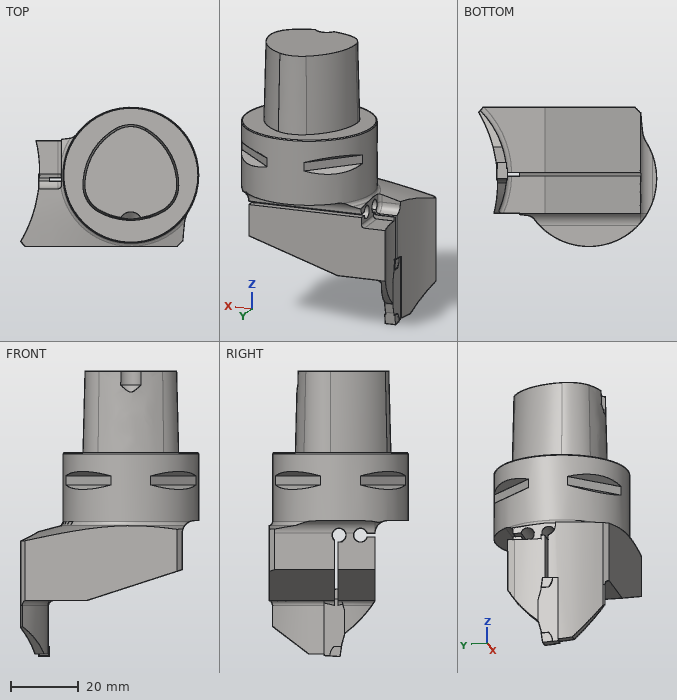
import cadquery as cq
import math


flange_radius = 20.0
flange_height = 20.0
flange_chamfer = 0.3

groove_z = -8.15
groove_floor_height = 2.6
groove_flare = 1.35
groove_floor_distance = 17.65
groove_count = 4

taper_height = 24.0
taper_ratio = 1 / 20
lobe_radius = 8.9
flank_radius = 19.3
lobe_offset = 6.0

notch_radius = 3.4
notch_axis_y = -14.2
notch_depth = 4.1

block_right = 15.15
block_back = 10.2
block_front = -21.0
block_bottom = -43.5
block_corner = 1.6
block_chamfer_width = 1.3
slope_start_x = -12.9
slope_end_z = -34.4
flare_radius = 3.6
cone_angle = 15.0
cone_fillet = 1.25
neck_fillet_z = -20.24
cone_outer_radius = 45.0

outer_radius = 40.0
outer_apex_x = -26.85
outer_apex_y = 1.0
blade_tip_x = -32.41
blade_tip_y = -19.5
finger_flat_y = 8.3
finger_end_x = -27.95
inner_radius = 26.5
inner_apex_x = -24.2
inner_apex_y = -1.3
blade_front = -20.0
blade_bottom = -59.25
blade_root_fillet = 1.5
bevel_top_z = -51.1
bevel_foot_y = -9.3
finger_mid = (4.8, -50.15)
finger_tip = (1.26, -53.2)

step_wall_x = -20.4
step_floor_z = -27.9
step_edge_y = 0.4
step_fillet = 1.0
step_round_radius = 3.0
step_round_y = -1.0
step_round_z = -24.0

hole_radius = 2.0
hole_z = -24.25
back_hole_y = 5.9
front_hole_y = -0.4
slot_width = 1.0
clamp_slot_y = -1.25

insert_top = -40.0
insert_bottom = -60.0
insert_seat_y = -4.8
insert_crown_y = 1.26
insert_shoulder_y = 0.44
insert_edge_y = -0.1
insert_end_relief = 0.3
insert_shoulder_inset = 3.7
insert_crown_inset = 6.6
insert_left = -26.85
insert_right = inner_apex_x
head_side_overhang = 0.3
head_length = 3.0
head_shoulder_y = -1.9
head_foot_y = -3.1
head_curve_radius = 4.0

far = 100.0


def box(x_range, y_range, z_range):
    size = [high - low for low, high in (x_range, y_range, z_range)]
    corner = (x_range[0], y_range[0], z_range[0])
    return cq.Workplane("XY").box(*size, centered=False).translate(corner)


def polygon_wire(inset, z):
    """Constant-width three-lobed outline, moved inwards by the inset."""
    lobe = lobe_radius - inset
    flank = flank_radius - inset

    def polar(center_angle, center_distance, radius, angle):
        x = center_distance * math.cos(center_angle) + radius * math.cos(angle)
        y = center_distance * math.sin(center_angle) + radius * math.sin(angle)
        return (x, y)

    half_arc = math.radians(30)
    first = math.radians(90)
    outline = cq.Workplane("XY", origin=(0, 0, z)).moveTo(*polar(first, lobe_offset, lobe, first - half_arc))
    for index in range(3):
        lobe_angle = first + index * math.radians(120)
        flank_angle = lobe_angle + math.radians(60)
        opposite = flank_angle + math.pi
        outline = outline.threePointArc(
            polar(lobe_angle, lobe_offset, lobe, lobe_angle),
            polar(lobe_angle, lobe_offset, lobe, lobe_angle + half_arc),
        )
        outline = outline.threePointArc(
            polar(opposite, lobe_offset, flank, flank_angle),
            polar(opposite, lobe_offset, flank, flank_angle + half_arc),
        )
    return outline.close().val()


def make_taper():
    top_inset = taper_height * taper_ratio / 2
    wires = [polygon_wire(0, 0), polygon_wire(top_inset, taper_height)]
    taper = cq.Workplane(cq.Solid.makeLoft(wires, True))
    shoulder_z = taper_height - notch_depth
    notch = (
        cq.Workplane("XZ")
        .moveTo(0, shoulder_z - notch_radius)
        .lineTo(notch_radius, shoulder_z)
        .lineTo(notch_radius, taper_height + 1)
        .lineTo(0, taper_height + 1)
        .close()
        .revolve(360, (0, 0, 0), (0, 1, 0))
        .translate((0, notch_axis_y, 0))
    )
    return taper.cut(notch)


def make_flange():
    flange = cq.Workplane("XY").circle(flange_radius).extrude(-flange_height)
    flange = flange.faces(">Z").edges().chamfer(flange_chamfer)
    depth = flange_radius - groove_floor_distance
    half_floor = groove_floor_height / 2
    half_mouth = half_floor + groove_flare
    groove = (
        cq.Workplane("XZ", origin=(groove_floor_distance, 0, groove_z))
        .moveTo(0, -half_floor)
        .lineTo(depth, -half_mouth)
        .lineTo(depth, half_mouth)
        .lineTo(0, half_floor)
        .close()
        .extrude(flange_radius, both=True)
    )
    for index in range(groove_count):
        angle = (index + 0.5) * 360 / groove_count
        flange = flange.cut(groove.rotate((0, 0, 0), (0, 0, 1), angle))
    return flange


def arc_x(apex_x, apex_y, radius, y):
    """X of a blade arc that bulges towards +X, at a given Y."""
    return apex_x - radius + math.sqrt(radius**2 - (y - apex_y) ** 2)


def outer_x(y):
    return arc_x(outer_apex_x, outer_apex_y, outer_radius, y)


def inner_x(y):
    return arc_x(inner_apex_x, inner_apex_y, inner_radius, y)


def left_profile():
    """Left end of the block and blade, from the back of the finger to the front tip."""
    return (
        cq.Workplane("XY")
        .moveTo(finger_end_x, block_back)
        .lineTo(outer_x(finger_flat_y), finger_flat_y)
        .threePointArc((outer_apex_x, outer_apex_y), (blade_tip_x, blade_tip_y))
    )


def flare_profile():
    """Concave section between a block side and the underside of the flange."""
    return (
        cq.Workplane("XZ", origin=(0, 0, -flange_height))
        .lineTo(flare_radius, 0)
        .radiusArc((0, -flare_radius), -flare_radius)
        .close()
    )


def make_flare():
    """Concave flares that widen the right and back sides of the block up to the flange."""
    right_side = flare_profile().extrude(block_back - block_front - block_corner)
    back_side = flare_profile().extrude(finger_end_x - block_right)
    back_side = back_side.rotate((0, 0, 0), (0, 0, 1), 90)
    corner = flare_profile().revolve(90, (0, 0, 0), (0, 1, 0))
    return right_side.union(back_side).union(corner).translate((block_right, block_back, 0))


def make_block_prism(bottom):
    """Full plan outline of the block carried down to the given height."""
    return (
        left_profile()
        .lineTo(blade_tip_x + block_chamfer_width, block_front)
        .lineTo(block_right - block_corner, block_front)
        .lineTo(block_right, block_front + block_corner)
        .lineTo(block_right, block_back)
        .close()
        .extrude(bottom)
    )


def make_block():
    slope = (
        cq.Workplane("XZ")
        .moveTo(slope_start_x, block_bottom)
        .lineTo(block_right, slope_end_z)
        .lineTo(block_right, block_bottom)
        .close()
        .extrude(far, both=True)
    )
    return make_block_prism(block_bottom).cut(slope)


def make_blade():
    """Curved blade reaching from inside the block down to the insert tip."""
    return (
        left_profile()
        .lineTo(inner_x(blade_front), blade_front)
        .threePointArc((inner_apex_x, inner_apex_y), (inner_x(block_back), block_back))
        .close()
        .extrude(blade_bottom)
    )


def make_blade_root():
    """Fillet between the inner side of the blade and the underside of the block."""
    ring = (
        cq.Workplane("XZ")
        .moveTo(inner_radius - blade_root_fillet, block_bottom)
        .lineTo(inner_radius + blade_root_fillet, block_bottom)
        .radiusArc((inner_radius, block_bottom - blade_root_fillet), -blade_root_fillet)
        .lineTo(inner_radius - blade_root_fillet, block_bottom - blade_root_fillet)
        .close()
        .revolve(360, (0, 0, 0), (0, 1, 0))
        .translate((inner_apex_x - inner_radius, inner_apex_y, 0))
    )
    return ring.intersect(make_block_prism(block_bottom - blade_root_fillet))


def make_cone_envelope():
    """Space under the flange: a neck fillet running out into a shallow downward cone."""
    angle = math.radians(cone_angle)
    fillet_center_r = flange_radius + cone_fillet
    fillet_end_r = fillet_center_r - cone_fillet * math.sin(angle)
    fillet_end_z = neck_fillet_z - cone_fillet * math.cos(angle)
    cone_end_z = fillet_end_z - (cone_outer_radius - fillet_end_r) * math.tan(angle)
    return (
        cq.Workplane("XZ")
        .moveTo(0, -flange_height)
        .lineTo(flange_radius, -flange_height)
        .lineTo(flange_radius, neck_fillet_z)
        .radiusArc((fillet_end_r, fillet_end_z), -cone_fillet)
        .lineTo(cone_outer_radius, cone_end_z)
        .lineTo(cone_outer_radius, -far)
        .lineTo(0, -far)
        .close()
        .revolve(360, (0, 0, 0), (0, 1, 0))
    )


def make_blade_trim():
    """Side outline of block and blade: curved finger end at the back, bevel at the front."""
    return (
        cq.Workplane("YZ")
        .moveTo(block_back, -flange_height)
        .lineTo(block_back, block_bottom)
        .threePointArc(finger_mid, finger_tip)
        .lineTo(insert_seat_y, finger_tip[1])
        .lineTo(insert_seat_y, blade_bottom)
        .lineTo(bevel_foot_y, blade_bottom)
        .lineTo(blade_front, bevel_top_z)
        .lineTo(block_front, block_bottom)
        .lineTo(block_front, -flange_height)
        .lineTo(block_back + flare_radius, -flange_height)
        .lineTo(block_back + flare_radius, -flange_height - flare_radius)
        .lineTo(block_back, -flange_height - flare_radius)
        .close()
        .extrude(far, both=True)
    )


def make_step():
    """Cut above the clamping finger, with a rounded run-out beside the slot."""
    above = -flange_height
    back = block_back + flare_radius
    floor = box((-far, step_wall_x), (step_edge_y, back), (step_floor_z, above))
    side_y = step_round_y - step_round_radius
    run_out = box((-far, step_wall_x), (side_y, back), (step_round_z, above))
    round_part = (
        cq.Workplane("YZ", origin=(step_wall_x, step_round_y, step_round_z))
        .circle(step_round_radius)
        .extrude(-far)
    )
    side_edge = cq.selectors.NearestToPointSelector((step_wall_x, side_y, (above + step_round_z) / 2))
    floor = floor.edges("|Y and >X and <Z").fillet(step_fillet)
    run_out = run_out.union(round_part).edges(side_edge).fillet(step_fillet)
    return floor.union(run_out)


def make_flexure_cuts():
    """Two through holes; one slot opens the back, the other splits the block downwards."""
    holes = (
        cq.Workplane("YZ")
        .pushPoints([(back_hole_y, hole_z), (front_hole_y, hole_z)])
        .circle(hole_radius)
        .extrude(far, both=True)
    )
    half = slot_width / 2
    back_slot = box((-far, far), (back_hole_y, far), (hole_z - half, hole_z + half))
    clamp_slot = box((-far, far), (clamp_slot_y - half, clamp_slot_y + half), (-far, hole_z))
    return holes.union(back_slot).union(clamp_slot)


def make_holder(insert):
    body = make_block().union(make_blade()).union(make_blade_root())
    body = body.union(make_flare())
    body = body.intersect(make_cone_envelope()).intersect(make_blade_trim())
    body = body.cut(make_step()).cut(make_flexure_cuts())
    return make_taper().union(make_flange()).union(body).cut(make_insert_seat()).cut(insert)


def insert_profile(x):
    """Side outline of the insert, the same at both ends."""
    middle_z = (insert_top + insert_bottom) / 2
    lower = [
        (insert_crown_y, insert_bottom + insert_crown_inset),
        (insert_shoulder_y, insert_bottom + insert_shoulder_inset),
        (insert_edge_y, insert_bottom),
        (insert_seat_y, insert_bottom + insert_end_relief),
    ]
    upper = [(y, 2 * middle_z - z) for y, z in reversed(lower)]
    return cq.Workplane("YZ", origin=(x, 0, 0)).polyline(lower + upper).close()


def make_insert_seat():
    """Recess for the insert, open to the outer side of the blade."""
    return insert_profile(insert_right).extrude(-far)


def make_insert():
    """Double-ended insert with a wider cutting head at each end."""
    body = insert_profile(insert_left).extrude(insert_right - insert_left)
    wide_left = insert_left - head_side_overhang
    wide = insert_profile(wide_left).extrude(insert_right + head_side_overhang - wide_left)
    for end_z, inward in ((insert_top, -1), (insert_bottom, 1)):
        shoulder_z = end_z + inward * head_length
        zone = (
            cq.Workplane("YZ", origin=(wide_left, 0, 0))
            .moveTo(insert_crown_y, shoulder_z)
            .lineTo(head_shoulder_y, shoulder_z)
            .radiusArc((head_foot_y, end_z), -inward * head_curve_radius)
            .lineTo(insert_crown_y, end_z)
            .close()
            .extrude(far)
        )
        body = body.union(wide.intersect(zone))
    return body


insert = make_insert()
holder = make_holder(insert)
result = cq.Compound.makeCompound([holder.val(), insert.val()])